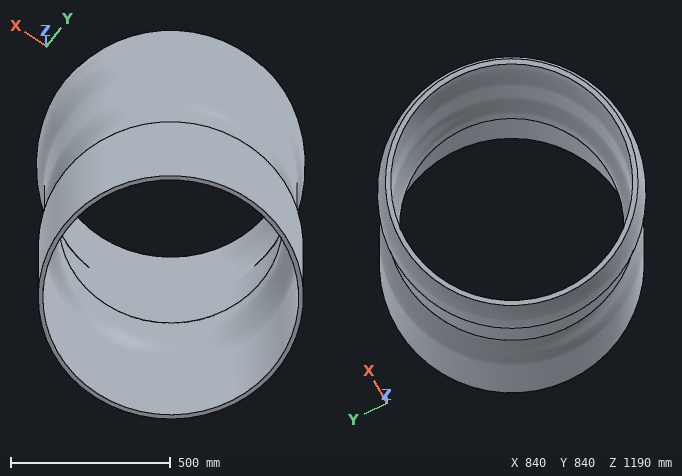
import cadquery as cq
import math

WALL = 15.0
TOTAL_HEIGHT = 1190.0

BASE_RADIUS = 830.0 / 2
NECK_RADIUS = 730.0 / 2
COLLAR_RADIUS = 790.0 / 2
BULGE_RADIUS = 840.0 / 2
RIM_RADIUS = COLLAR_RADIUS

BASE_HEIGHT = 400.0
NECK_HEIGHT = 55.0
COLLAR_HEIGHT = 170.0

CREST_BEND = 120.0
HOLLOW_BEND = 80.0
COLLAR_TOP_BEND = 120.0
BULGE_BEND = 250.0


def bend_angle(radial_step, first_bend, second_bend):
    """Turning angle of two tangent arcs that join parallel walls."""
    return math.acos(1 - radial_step / (first_bend + second_bend))


def bend_height(radial_step, first_bend, second_bend):
    """Axial length of two tangent arcs that join parallel walls."""
    return (first_bend + second_bend) * math.sin(bend_angle(radial_step, first_bend, second_bend))


neck_start = BASE_HEIGHT + bend_height(BASE_RADIUS - NECK_RADIUS, CREST_BEND, HOLLOW_BEND)
neck_end = neck_start + NECK_HEIGHT
collar_start = neck_end + bend_height(COLLAR_RADIUS - NECK_RADIUS, HOLLOW_BEND, CREST_BEND)
collar_end = collar_start + COLLAR_HEIGHT
bulge_start = collar_end + bend_height(BULGE_RADIUS - COLLAR_RADIUS, COLLAR_TOP_BEND, BULGE_BEND)
rim_drop = BULGE_RADIUS - RIM_RADIUS
bulge_end = TOTAL_HEIGHT - math.sqrt(BULGE_BEND**2 - (BULGE_BEND - rim_drop) ** 2)


def add_s_bend(profile, start, end, first_bend, second_bend):
    """Join two vertical walls by two tangent arcs that turn opposite ways."""
    start_radius, start_height = start
    end_radius, end_height = end
    side = math.copysign(1, end_radius - start_radius)
    angle = bend_angle(abs(end_radius - start_radius), first_bend, second_bend)

    def first_arc(turn):
        shift = first_bend * (1 - math.cos(turn))
        return start_radius + side * shift, start_height + first_bend * math.sin(turn)

    def second_arc(turn):
        shift = second_bend * (1 - math.cos(turn))
        return end_radius - side * shift, end_height - second_bend * math.sin(turn)

    profile = profile.threePointArc(first_arc(angle / 2), first_arc(angle))
    return profile.threePointArc(second_arc(angle / 2), end)


def solid_body(inset):
    """Solid of revolution whose wall lies `inset` inside the outer surface."""
    base = BASE_RADIUS - inset
    neck = NECK_RADIUS - inset
    collar = COLLAR_RADIUS - inset
    bulge = BULGE_RADIUS - inset

    crest_bend = CREST_BEND - inset
    hollow_bend = HOLLOW_BEND + inset
    collar_top_bend = COLLAR_TOP_BEND + inset
    bulge_bend = BULGE_BEND - inset

    profile = cq.Workplane("XZ").lineTo(base, 0).lineTo(base, BASE_HEIGHT)
    profile = add_s_bend(profile, (base, BASE_HEIGHT), (neck, neck_start), crest_bend, hollow_bend)
    profile = profile.lineTo(neck, neck_end)
    profile = add_s_bend(profile, (neck, neck_end), (collar, collar_start), hollow_bend, crest_bend)
    profile = profile.lineTo(collar, collar_end)
    profile = add_s_bend(
        profile, (collar, collar_end), (bulge, bulge_start), collar_top_bend, bulge_bend
    )
    profile = profile.lineTo(bulge, bulge_end)

    rim_angle = math.asin((TOTAL_HEIGHT - bulge_end) / bulge_bend)

    def closing_arc(turn):
        return bulge - bulge_bend * (1 - math.cos(turn)), bulge_end + bulge_bend * math.sin(turn)

    profile = profile.threePointArc(closing_arc(rim_angle / 2), closing_arc(rim_angle))
    profile = profile.lineTo(0, TOTAL_HEIGHT).close()
    return profile.revolve(360, (0, 0, 0), (0, 1, 0))


result = solid_body(0).cut(solid_body(WALL))